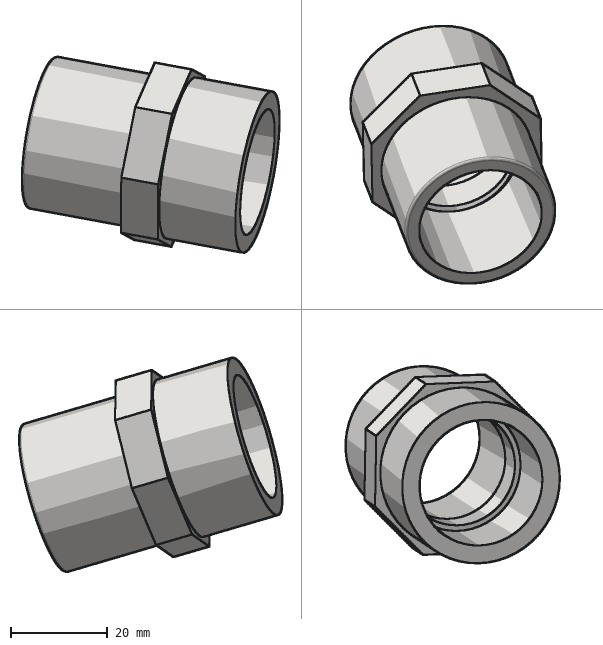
import cadquery as cq
import math

LENGTH = 46.3
SPIGOT_LENGTH = 22.05
NUT_LENGTH = 7.9
START_X = -LENGTH / 2
END_X = LENGTH / 2
NUT_START_X = START_X + SPIGOT_LENGTH
NUT_END_X = NUT_START_X + NUT_LENGTH
SOCKET_LENGTH = END_X - NUT_END_X

SPIGOT_DIAMETER = 32.0
SOCKET_DIAMETER = 34.0
SPIGOT_BORE = 26.0
SOCKET_BORE = 26.45
RIM_FILLET = 0.55

THROAT_DIAMETER = 24.08
LEAD_IN_DIAMETER = 25.05
LEAD_IN_LENGTH = 0.65
LEAD_IN_DROP = 0.45

NUT_SIDES = 8
NUT_EXTENT = 36.25
NUT_TURN = -1.0
NUT_CORNER_ANGLE = 180 / NUT_SIDES
NUT_CORNER_RADIUS = NUT_EXTENT / 2 / math.cos(math.radians(NUT_CORNER_ANGLE - abs(NUT_TURN)))


def cylinder(diameter, start_x, length):
    """Cylinder on the X axis, growing towards +X."""
    return cq.Workplane("YZ", origin=(start_x, 0, 0)).circle(diameter / 2).extrude(length)


def lead_in():
    """Tapered mouth of the throat, whose wider end sits below the tube axis."""
    return (
        cq.Workplane("YZ", origin=(NUT_START_X, 0, 0))
        .center(0, -LEAD_IN_DROP)
        .circle(LEAD_IN_DIAMETER / 2)
        .workplane(offset=LEAD_IN_LENGTH)
        .center(0, LEAD_IN_DROP)
        .circle(THROAT_DIAMETER / 2)
        .loft()
    )


def make_tube():
    """Stepped tube: a slim spigot that carries the nut, and a wider socket."""
    spigot = cylinder(SPIGOT_DIAMETER, START_X, SPIGOT_LENGTH + NUT_LENGTH)
    spigot = spigot.faces("<X").edges().fillet(RIM_FILLET)
    tube = spigot.union(cylinder(SOCKET_DIAMETER, NUT_END_X, SOCKET_LENGTH))
    tube = tube.cut(cylinder(SPIGOT_BORE, START_X, SPIGOT_LENGTH))
    tube = tube.cut(cylinder(THROAT_DIAMETER, NUT_START_X, NUT_LENGTH))
    tube = tube.cut(lead_in())
    return tube.cut(cylinder(SOCKET_BORE, NUT_END_X, SOCKET_LENGTH))


def make_nut():
    """Octagonal ring around the spigot, against the socket's shoulder."""
    blank = (
        cq.Workplane("YZ", origin=(NUT_START_X, 0, 0))
        .polygon(NUT_SIDES, 2 * NUT_CORNER_RADIUS)
        .extrude(NUT_LENGTH)
        .rotate((0, 0, 0), (1, 0, 0), NUT_CORNER_ANGLE + NUT_TURN)
    )
    return blank.cut(cylinder(SPIGOT_DIAMETER, NUT_START_X, NUT_LENGTH))


tube = make_tube()
nut = make_nut()

result = cq.Compound.makeCompound([*tube.solids().vals(), *nut.solids().vals()])